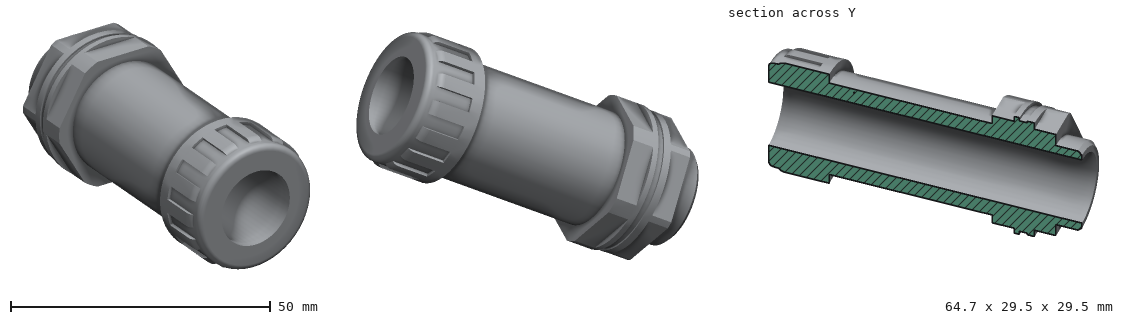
import cadquery as cq
import math

LOCKNUT_START = 5.4
LOCKNUT_COLLAR_START = 9.8
WASHER_START = 11.3
BODY_COLLAR_START = 12.9
BODY_HEX_START = 14.05
TUBE_START = 18.6
CAP_START = 52.15
GROOVE_START = 54.6
RIB_ROUND_START = 61.2
RIB_END = 62.6
TOTAL_LENGTH = 64.7

BORE_D = 15.8
SPIGOT_D = 20.05
LOCKNUT_D = 28.7
WASHER_D = 27.95
BODY_COLLAR_D = 29.5
TUBE_D = 23.15
CAP_D = 27.55
CAP_NOSE_D = 26.3

LOCKNUT_FLATS = 25.55
BODY_HEX_FLATS = 27.05

SPIGOT_CHAMFER = 0.85
CAP_NOSE_FILLET = 1.15

RIB_COUNT = 15
GROOVE_ANGLE = 360 / RIB_COUNT / 2


def cylinder(start, end, diameter):
    return cq.Workplane("YZ", origin=(start, 0, 0)).circle(diameter / 2).extrude(end - start)


def rounded_hex(start, end, flats, corner_diameter):
    """Hexagon whose corners are turned down to a cylinder."""
    across_corners = flats / math.cos(math.radians(30))
    hexagon = cq.Workplane("YZ", origin=(start, 0, 0)).polygon(6, across_corners).extrude(end - start)
    return hexagon.intersect(cylinder(start, end, corner_diameter))


def spigot():
    return cylinder(0, LOCKNUT_START, SPIGOT_D).faces("<X").chamfer(SPIGOT_CHAMFER)


def locknut():
    nut = rounded_hex(LOCKNUT_START, LOCKNUT_COLLAR_START, LOCKNUT_FLATS, LOCKNUT_D)
    return nut.union(cylinder(LOCKNUT_COLLAR_START, WASHER_START, LOCKNUT_D))


def body():
    collar = cylinder(BODY_COLLAR_START, BODY_HEX_START, BODY_COLLAR_D)
    hexagon = rounded_hex(BODY_HEX_START, TUBE_START, BODY_HEX_FLATS, BODY_COLLAR_D)
    return collar.union(hexagon).union(cylinder(TUBE_START, CAP_START, TUBE_D))


def grip_groove():
    """One groove between two ribs, centred on the +Y side, with radial walls."""
    floor = CAP_NOSE_D / 2
    outside_cap = BODY_COLLAR_D / 2
    section = (
        cq.Workplane("XY")
        .moveTo(GROOVE_START, floor)
        .lineTo(RIB_END, floor)
        .lineTo(RIB_END, outside_cap)
        .lineTo(GROOVE_START, outside_cap)
        .close()
    )
    wedge = section.revolve(GROOVE_ANGLE, (0, 0, 0), (1, 0, 0))
    return wedge.rotate((0, 0, 0), (1, 0, 0), -GROOVE_ANGLE / 2)


def grip_cap():
    """Cap turned with a rounded shoulder and nose, then split into ribs by grooves."""
    nose = CAP_NOSE_D / 2
    top = CAP_D / 2
    corner = CAP_NOSE_FILLET
    cap = (
        cq.Workplane("XY")
        .moveTo(CAP_START, 0)
        .lineTo(CAP_START, top)
        .lineTo(RIB_ROUND_START, top)
        .tangentArcPoint((RIB_END, nose), relative=False)
        .lineTo(TOTAL_LENGTH - corner, nose)
        .tangentArcPoint((TOTAL_LENGTH, nose - corner), relative=False)
        .lineTo(TOTAL_LENGTH, 0)
        .close()
        .revolve(360, (0, 0, 0), (1, 0, 0))
    )
    groove = grip_groove()
    for i in range(RIB_COUNT):
        cap = cap.cut(groove.rotate((0, 0, 0), (1, 0, 0), i * 360 / RIB_COUNT))
    return cap


washer = cylinder(WASHER_START, BODY_COLLAR_START, WASHER_D)
outside = spigot().union(locknut()).union(washer).union(body()).union(grip_cap())
result = outside.cut(cylinder(0, TOTAL_LENGTH, BORE_D))